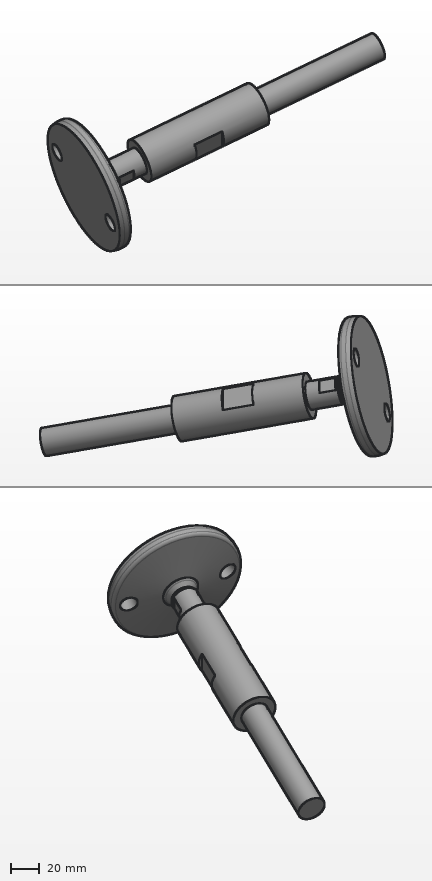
import cadquery as cq
import math

total_length = 237.0

foot_diameter = 98.0
underside_inset = 0.7
taper_height = 3.5
rim_height = 7.0
rim_rounding = 2.5
dish_radius = 13.3
dish_height = 15.2
neck_base_radius = 11.73
neck_base_height = 16.4
neck_top_radius = 8.5
neck_top_height = 20.0
collar_radius = 9.0
collar_height = 20.6
bolt_hole_diameter = 12.5
bolt_hole_offset = 35.5

stem_diameter = 20.0
stem_neck_diameter = 13.5
stem_shoulder = 22.0
stem_flats_start = 23.5
stem_flats_length = 11.5
stem_across_flats = 17.0

sleeve_diameter = 32.0
sleeve_start = 45.0
sleeve_length = 95.0
sleeve_flats_length = 22.0
sleeve_across_flats = 26.8

foot_radius = foot_diameter / 2
round_centre_radius = foot_radius - rim_rounding
centre_run = round_centre_radius - dish_radius
centre_drop = dish_height - rim_height
dish_slope = math.atan2(centre_drop, centre_run) - math.asin(
    rim_rounding / math.hypot(centre_run, centre_drop)
)


def rod(diameter, start, length):
    """Cylinder around the Y axis, from Y = start toward +Y."""
    return cq.Workplane("XZ", origin=(0, start, 0)).circle(diameter / 2).extrude(-length)


def cut_flats(body, diameter, across_flats, start, length):
    """Cut a pair of wrench flats facing -X and +X."""
    flats = rod(diameter, start, length)
    kept_core = cq.Workplane("XY").box(across_flats, length, diameter)
    kept_core = kept_core.translate((0, start + length / 2, 0))
    return body.cut(flats.cut(kept_core))


def rounding_point(angle):
    """Point on the rim rounding, with its angle measured from the radial direction."""
    return (
        round_centre_radius + rim_rounding * math.cos(angle),
        rim_height + rim_rounding * math.sin(angle),
    )


def bolt_hole_cutter(side):
    """Bolt hole drilled square to the dish, leaning outward on the given X side."""
    lean = (side * math.sin(dish_slope), math.cos(dish_slope), 0)
    entry = (side * bolt_hole_offset, 0, 0)
    hole = cq.Workplane(cq.Plane(origin=entry, xDir=(0, 0, 1), normal=lean))
    return hole.circle(bolt_hole_diameter / 2).extrude(2 * dish_height, both=True)


def make_foot():
    rounding_end = math.pi / 2 - dish_slope
    foot = (
        cq.Workplane("XY")
        .moveTo(0, 0)
        .lineTo(foot_radius - underside_inset, 0)
        .lineTo(foot_radius, taper_height)
        .lineTo(foot_radius, rim_height)
        .threePointArc(rounding_point(rounding_end / 2), rounding_point(rounding_end))
        .lineTo(dish_radius, dish_height)
        .lineTo(neck_base_radius, neck_base_height)
        .lineTo(neck_top_radius, neck_top_height)
        .lineTo(collar_radius, neck_top_height)
        .lineTo(collar_radius, collar_height)
        .lineTo(0, collar_height)
        .close()
        .revolve(360, (0, 0, 0), (0, 1, 0))
    )
    for side in (-1, 1):
        foot = foot.cut(bolt_hole_cutter(side))
    return foot


def make_stem():
    neck = rod(stem_neck_diameter, collar_height, stem_shoulder - collar_height)
    shaft = rod(stem_diameter, stem_shoulder, total_length - stem_shoulder)
    return cut_flats(
        neck.union(shaft), stem_diameter, stem_across_flats, stem_flats_start, stem_flats_length
    )


def make_sleeve():
    sleeve = rod(sleeve_diameter, sleeve_start, sleeve_length)
    sleeve = sleeve.cut(rod(stem_diameter, sleeve_start, sleeve_length))
    flats_start = sleeve_start + (sleeve_length - sleeve_flats_length) / 2
    return cut_flats(
        sleeve, sleeve_diameter, sleeve_across_flats, flats_start, sleeve_flats_length
    )


foot = make_foot()
stem = make_stem()
sleeve = make_sleeve()

result = cq.Compound.makeCompound([foot.val(), stem.val(), sleeve.val()])